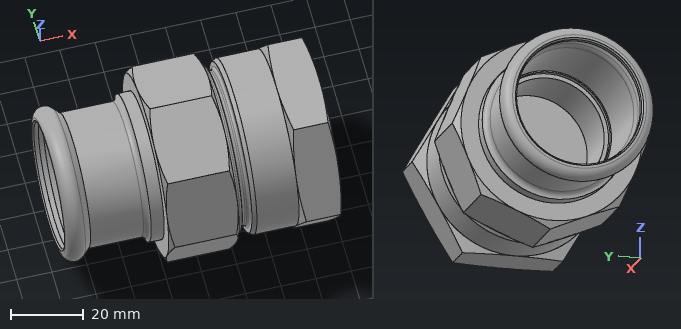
import cadquery as cq
import math

TUBE_START = 7.15
TUBE_END = 22.2
NUT_START = 27.65
NUT_END = 47.7
FLANGE_END = 48.5
NECK_END = 50.9
BARREL_START = 51.75
HEX_START = 64.9
TOTAL_LENGTH = 77.0

BEAD_DIAMETER = 43.9
TUBE_DIAMETER = 38.4
COLLAR_DIAMETER = 42.0
FLANGE_DIAMETER = 47.8
NECK_DIAMETER = 43.8
BARREL_DIAMETER = 50.0

MOUTH_DIAMETER = 35.9
SOCKET_DIAMETER = 35.3
BORE_DIAMETER = 32.0
GROOVE_DIAMETER = 39.4
RELIEF_DIAMETER = 34.5
GROOVE_START = 1.8
GROOVE_END = 3.55
GROOVE_CONE_END = 5.2
GROOVE_CONE_END_DIAMETER = 36.65
SOCKET_DEPTH = 29.25
RELIEF_DEPTH = 30.8
BORE_DEPTH = NUT_END

BEAD_RADIUS = 3.1
MOUTH_CHAMFER = 0.5
COLLAR_FILLET = (COLLAR_DIAMETER - TUBE_DIAMETER) / 2
FLANGE_ROUND = 0.8
NECK_FLANGE_FILLET = 1.1
NECK_BARREL_FILLET = BARREL_START - NECK_END
BARREL_CHAMFER_LENGTH = 1.2
BARREL_CHAMFER_HEIGHT = 0.8

HEX_SIDES = 6
HEX_ACROSS_CORNERS = 57.75
HEX_CORNER_CHAMFER = 1.15
NUT_SIDES = 8
NUT_ACROSS_CORNERS = 56.3
NUT_CORNER_CHAMFER = 1.2


def revolve_about_x(profile):
    return profile.close().revolve(360, (0, 0, 0), (1, 0, 0))


def chamfered_prism(sides, across_corners, start, end, corner_chamfer):
    """Prism along X, cornered on the Y axis; its chamfer cones touch the middles of the flats."""
    corner_r = across_corners / 2
    flat_r = corner_r * math.cos(math.pi / sides)
    prism = (
        cq.Workplane("YZ", origin=(start, 0, 0))
        .polygon(sides, across_corners)
        .extrude(end - start)
    )
    envelope = revolve_about_x(
        cq.Workplane("XY")
        .moveTo(start, 0)
        .lineTo(start, flat_r)
        .lineTo(start + corner_chamfer, corner_r)
        .lineTo(end - corner_chamfer, corner_r)
        .lineTo(end, flat_r)
        .lineTo(end, 0)
    )
    return prism.intersect(envelope)


def turned_outside():
    """Solid of revolution from the bead to the barrel, before boring."""
    bead_r = BEAD_DIAMETER / 2
    tube_r = TUBE_DIAMETER / 2
    collar_r = COLLAR_DIAMETER / 2
    flange_r = FLANGE_DIAMETER / 2
    neck_r = NECK_DIAMETER / 2
    barrel_r = BARREL_DIAMETER / 2
    diagonal = math.sqrt(0.5)

    def round_mid(centre_x, centre_r, radius, x_sign, r_sign):
        return (centre_x + x_sign * radius * diagonal, centre_r + r_sign * radius * diagonal)

    flange_round_end = FLANGE_END + FLANGE_ROUND
    neck_start = flange_round_end + NECK_FLANGE_FILLET
    return revolve_about_x(
        cq.Workplane("XY")
        .lineTo(0, tube_r)
        .threePointArc(
            (BEAD_RADIUS, bead_r),
            round_mid(BEAD_RADIUS, bead_r - BEAD_RADIUS, BEAD_RADIUS, 1, 1),
        )
        .lineTo(TUBE_START, tube_r)
        .lineTo(TUBE_END, tube_r)
        .threePointArc(
            round_mid(TUBE_END, collar_r, COLLAR_FILLET, 1, -1),
            (TUBE_END + COLLAR_FILLET, collar_r),
        )
        .lineTo(NUT_END, collar_r)
        .lineTo(NUT_END, flange_r)
        .lineTo(FLANGE_END, flange_r)
        .threePointArc(
            round_mid(FLANGE_END, flange_r - FLANGE_ROUND, FLANGE_ROUND, 1, 1),
            (flange_round_end, flange_r - FLANGE_ROUND),
        )
        .lineTo(flange_round_end, neck_r + NECK_FLANGE_FILLET)
        .threePointArc(
            round_mid(neck_start, neck_r + NECK_FLANGE_FILLET, NECK_FLANGE_FILLET, -1, -1),
            (neck_start, neck_r),
        )
        .lineTo(NECK_END, neck_r)
        .threePointArc(
            round_mid(NECK_END, neck_r + NECK_BARREL_FILLET, NECK_BARREL_FILLET, 1, -1),
            (BARREL_START, neck_r + NECK_BARREL_FILLET),
        )
        .lineTo(BARREL_START, barrel_r - BARREL_CHAMFER_HEIGHT)
        .lineTo(BARREL_START + BARREL_CHAMFER_LENGTH, barrel_r)
        .lineTo(HEX_START, barrel_r)
        .lineTo(HEX_START, 0)
    )


def tube_cavity():
    """Mouth, seal groove inside the bead, pipe socket, step and blind bore."""
    mouth_r = MOUTH_DIAMETER / 2
    socket_r = SOCKET_DIAMETER / 2
    bore_r = BORE_DIAMETER / 2
    groove_r = GROOVE_DIAMETER / 2
    relief_r = RELIEF_DIAMETER / 2
    return revolve_about_x(
        cq.Workplane("XY")
        .lineTo(0, mouth_r + MOUTH_CHAMFER)
        .lineTo(MOUTH_CHAMFER, mouth_r)
        .lineTo(GROOVE_START, mouth_r)
        .lineTo(GROOVE_START, groove_r)
        .lineTo(GROOVE_END, groove_r)
        .lineTo(GROOVE_CONE_END, GROOVE_CONE_END_DIAMETER / 2)
        .tangentArcPoint((TUBE_START, socket_r), relative=False)
        .lineTo(SOCKET_DEPTH, socket_r)
        .lineTo(SOCKET_DEPTH, relief_r)
        .lineTo(RELIEF_DEPTH, relief_r)
        .lineTo(RELIEF_DEPTH, bore_r)
        .lineTo(BORE_DEPTH, bore_r)
        .lineTo(BORE_DEPTH, 0)
    )


def make_fitting():
    hexagon = chamfered_prism(
        HEX_SIDES, HEX_ACROSS_CORNERS, HEX_START, TOTAL_LENGTH, HEX_CORNER_CHAMFER
    )
    return turned_outside().union(hexagon).cut(tube_cavity())


def make_nut():
    """Octagonal nut that fits closely around the collar, with corners on the Y and Z axes."""
    octagon = chamfered_prism(
        NUT_SIDES, NUT_ACROSS_CORNERS, NUT_START, NUT_END, NUT_CORNER_CHAMFER
    )
    collar_hole = (
        cq.Workplane("YZ", origin=(NUT_START, 0, 0))
        .circle(COLLAR_DIAMETER / 2)
        .extrude(NUT_END - NUT_START)
    )
    return octagon.cut(collar_hole)


fitting = make_fitting()
nut = make_nut()
result = cq.Compound.makeCompound([fitting.val(), nut.val()])